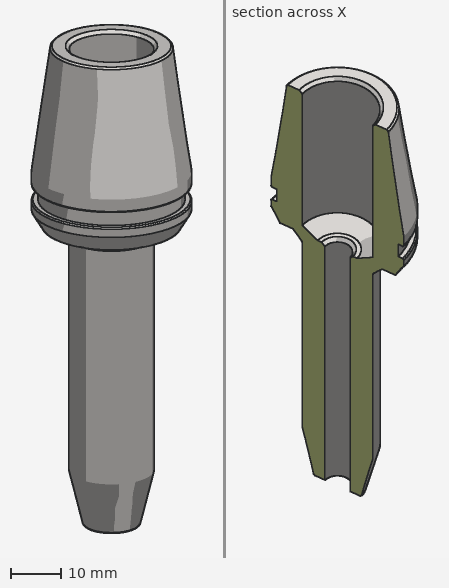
import cadquery as cq
import math

total_height = 101.6
tip_taper_top = 11.6
neck_bottom = 61.2
flange_bottom = 63.5
flange_bevel_top = 67.0
groove_bottom = 69.0
groove_top = 72.1
head_taper_bottom = 75.0

tip_diameter = 11.6
shaft_diameter = 17.1
neck_top_diameter = 21.4
flange_bottom_diameter = 27.7
head_diameter = 31.9
groove_diameter = 29.3
head_top_diameter = 24.5

groove_lip_chamfer = 0.3
tip_chamfer = 0.3
head_top_chamfer = 0.4

socket_diameter = 16.9
socket_mouth_chamfer = 0.7
socket_seat_diameter = 9.4
socket_seat_height = flange_bottom
socket_cone_slope = 30
hole_diameter = 6.0
hole_mouth_diameter = 7.5


def revolve_profile(points):
    """Turn a list of (diameter, height) corners, closed along the axis, into a solid about Z."""
    corners = [(diameter / 2, height) for diameter, height in points]
    axis_ends = [(0, corners[-1][1]), (0, corners[0][1])]
    return cq.Workplane("XZ").polyline(corners + axis_ends).close().revolve(360, (0, 0), (0, 1))


def make_body():
    """Tapered tip, straight shaft, conical neck, grooved flange and tapered head."""
    lip_diameter = head_diameter - 2 * groove_lip_chamfer
    return revolve_profile([
        (tip_diameter - 2 * tip_chamfer, 0),
        (tip_diameter, tip_chamfer),
        (shaft_diameter, tip_taper_top),
        (shaft_diameter, neck_bottom),
        (neck_top_diameter, flange_bottom),
        (flange_bottom_diameter, flange_bottom),
        (head_diameter, flange_bevel_top),
        (head_diameter, groove_bottom - groove_lip_chamfer),
        (lip_diameter, groove_bottom),
        (groove_diameter, groove_bottom),
        (groove_diameter, groove_top),
        (lip_diameter, groove_top),
        (head_diameter, groove_top + groove_lip_chamfer),
        (head_diameter, head_taper_bottom),
        (head_top_diameter, total_height - head_top_chamfer),
        (head_top_diameter - 2 * head_top_chamfer, total_height),
    ])


def make_passage():
    """Socket with a bevelled mouth and conical floor, leading through a flat seat to a countersunk hole."""
    socket_mouth_diameter = socket_diameter + 2 * socket_mouth_chamfer
    hole_countersink = (hole_mouth_diameter - hole_diameter) / 2
    socket_cone_width = (socket_diameter - socket_seat_diameter) / 2
    socket_cone_height = socket_cone_width * math.tan(math.radians(socket_cone_slope))
    return revolve_profile([
        (hole_diameter, 0),
        (hole_diameter, socket_seat_height - hole_countersink),
        (hole_mouth_diameter, socket_seat_height),
        (socket_seat_diameter, socket_seat_height),
        (socket_diameter, socket_seat_height + socket_cone_height),
        (socket_diameter, total_height - socket_mouth_chamfer),
        (socket_mouth_diameter, total_height),
    ])


result = make_body().cut(make_passage())